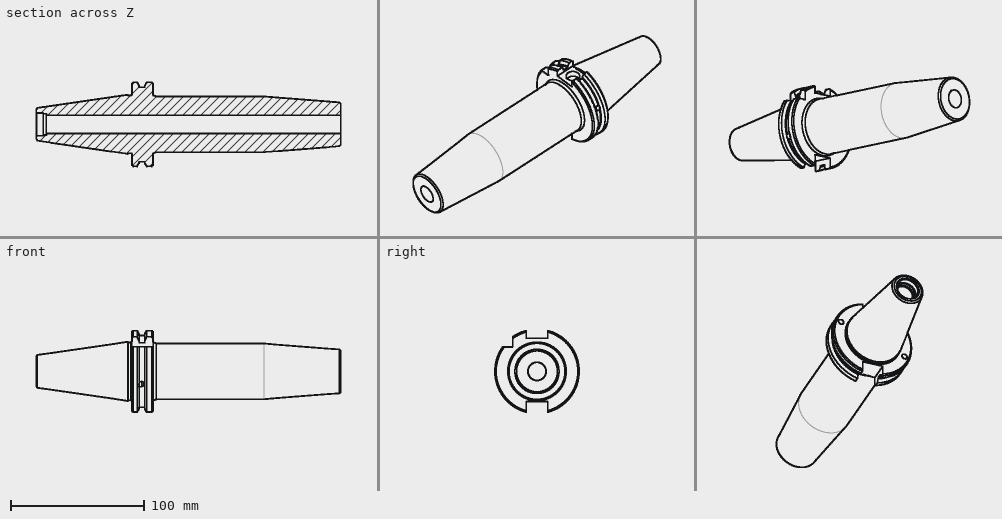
import cadquery as cq
import math


total_length = 228.5
taper_length = 68.5
taper_rate = 7 / 24
nose_end = total_length - taper_length

gauge_dia = 44.5
taper_tip_dia = gauge_dia - taper_rate * taper_length
tip_chamfer_length = 1.0
tip_chamfer_height = 1.4
relief_dia = 43.5
relief_ramp = 0.7

flange_dia = 63.3
flange_start = 3.2
flange_width = 16.0
flange_end = flange_start + flange_width
flange_chamfer = 1.0

groove_center = 10.7
groove_mouth_width = 7.0
groove_channel_width = 4.0
groove_bottom_dia = 56.2
groove_wall_angle = math.radians(30)

collar_dia = 43.9
collar_length = 2.5
body_dia = 42.0
nose_length = 57.8
nose_angle = math.radians(4.5)
nose_tip_dia = body_dia - 2 * nose_length * math.tan(nose_angle)
nose_chamfer = 1.1

through_dia = 13.5
socket_dia = 17.0
socket_depth = 5.3
thread_dia = 15.8
thread_depth = 7.8
mouth_dia = 18.3

slot_width = 16.0
top_slot_floor = 25.0
bottom_slot_floor = 22.5
notch_offset = 18.3

recess_dia = 10.0
recess_depth = 5.0

coolant_radius = 27.2
coolant_tilt = 20
face_hole_dia = 4.0
radial_hole_dia = 3.2


def revolve_about_x(points):
    """Revolve a closed (x, radius) outline about the X axis."""
    return cq.Workplane("XY").polyline(points).close().revolve(360, (0, 0, 0), (1, 0, 0))


def make_blank():
    """Turned outer shape: taper, flange, body and nose."""
    flange_radius = flange_dia / 2
    chamfer_end = -taper_length + tip_chamfer_length
    nose_edge_dia = nose_tip_dia + 2 * nose_chamfer * math.tan(nose_angle)
    return revolve_about_x([
        (-taper_length, 0),
        (-taper_length, taper_tip_dia / 2 - tip_chamfer_height),
        (chamfer_end, (taper_tip_dia + taper_rate * tip_chamfer_length) / 2),
        (0, gauge_dia / 2),
        (relief_ramp, relief_dia / 2),
        (flange_start - relief_ramp, relief_dia / 2),
        (flange_start, gauge_dia / 2),
        (flange_start, flange_radius - flange_chamfer),
        (flange_start + flange_chamfer, flange_radius),
        (flange_end - flange_chamfer, flange_radius),
        (flange_end, flange_radius - flange_chamfer),
        (flange_end, collar_dia / 2),
        (flange_end + collar_length, body_dia / 2),
        (nose_end - nose_length, body_dia / 2),
        (nose_end - nose_chamfer, nose_edge_dia / 2),
        (nose_end, nose_tip_dia / 2 - nose_chamfer),
        (nose_end, 0),
    ])


def make_groove():
    """Ring removed from the flange rim to form the gripper groove, reaching well outside the rim."""
    half_mouth = groove_mouth_width / 2
    half_channel = groove_channel_width / 2
    mouth_radius = flange_dia / 2
    channel_radius = mouth_radius - (half_mouth - half_channel) / math.tan(groove_wall_angle)
    return revolve_about_x([
        (groove_center - half_mouth, flange_dia),
        (groove_center - half_mouth, mouth_radius),
        (groove_center - half_channel, channel_radius),
        (groove_center - half_channel, groove_bottom_dia / 2),
        (groove_center + half_channel, groove_bottom_dia / 2),
        (groove_center + half_channel, channel_radius),
        (groove_center + half_mouth, mouth_radius),
        (groove_center + half_mouth, flange_dia),
    ])


def make_bore():
    """Through bore with a thread section and a chamfered socket at the taper end."""
    mouth_chamfer = (mouth_dia - socket_dia) / 2
    return revolve_about_x([
        (-taper_length, 0),
        (-taper_length, mouth_dia / 2),
        (-taper_length + mouth_chamfer, socket_dia / 2),
        (-taper_length + socket_depth, socket_dia / 2),
        (-taper_length + socket_depth, thread_dia / 2),
        (-taper_length + thread_depth, thread_dia / 2),
        (-taper_length + thread_depth, through_dia / 2),
        (nose_end, through_dia / 2),
        (nose_end, 0),
    ])


def flange_block(y_range, z_range):
    """Block as long as the flange, spanning the given Y and Z ranges."""
    width = y_range[1] - y_range[0]
    height = z_range[1] - z_range[0]
    block = cq.Workplane("XY").box(flange_width, width, height, centered=False)
    return block.translate((flange_start, y_range[0], z_range[0]))


def make_rim_cuts():
    """Two drive slots and the square orientation notch."""
    slot_sides = (-slot_width / 2, slot_width / 2)
    top_slot = flange_block(slot_sides, (top_slot_floor, flange_dia))
    bottom_slot = flange_block(slot_sides, (-flange_dia, -bottom_slot_floor))
    notch = flange_block((-flange_dia, -notch_offset), (notch_offset, flange_dia))
    return top_slot.union(bottom_slot).union(notch)


def make_recess():
    """Blind round recess in the floor of the upper slot."""
    floor = cq.Workplane("XY", origin=(groove_center, 0, top_slot_floor - recess_depth))
    return floor.circle(recess_dia / 2).extrude(recess_depth)


def make_coolant_hole(angle):
    """Axial face hole and radial groove hole, turned about X by the given angle from +Y."""
    face_start = cq.Workplane("YZ", origin=(flange_start, coolant_radius, 0))
    face_hole = face_start.circle(face_hole_dia / 2).extrude(groove_center - flange_start)
    radial_start = cq.Workplane("XZ", origin=(groove_center, coolant_radius, 0))
    radial_hole = radial_start.circle(radial_hole_dia / 2).extrude(coolant_radius - flange_dia / 2)
    return face_hole.union(radial_hole).rotate((0, 0, 0), (1, 0, 0), angle)


result = make_blank().cut(make_groove()).cut(make_rim_cuts()).cut(make_recess()).cut(make_bore())
for half_turn in (0, 180):
    result = result.cut(make_coolant_hole(coolant_tilt + half_turn))